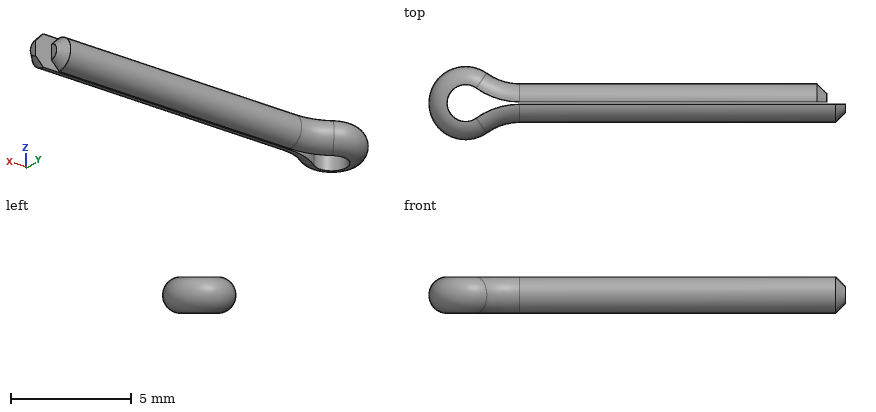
import cadquery as cq
import math

overall_length = 17.24
wire_radius = 0.75
eye_inner_radius = wire_radius
leg_gap = 0.09
bend_end_x = 3.75
leg_step = 0.78
tip_chamfer = 0.41

eye_center_x = eye_inner_radius + wire_radius
flat_y = leg_gap / 2

neck_run = bend_end_x - eye_center_x
neck_radius = (neck_run**2 + flat_y**2 - eye_inner_radius**2) / (2 * (eye_inner_radius - flat_y))
neck_center_y = flat_y + neck_radius
join_angle = math.atan2(neck_center_y, neck_run)


def eye_point(angle):
    """Point on the inner eye circle, with the angle measured from +X."""
    return (
        eye_center_x + eye_inner_radius * math.cos(angle),
        eye_inner_radius * math.sin(angle),
    )


def bent_half():
    """Half of the eye plus one neck bend, swept along the flat face on the +Y side."""
    neck_mid_angle = (join_angle + math.pi / 2) / 2
    neck_mid = (
        bend_end_x - neck_radius * math.cos(neck_mid_angle),
        neck_center_y - neck_radius * math.sin(neck_mid_angle),
    )
    path = (
        cq.Workplane("XY")
        .moveTo(*eye_point(math.pi))
        .threePointArc(eye_point((math.pi + join_angle) / 2), eye_point(join_angle))
        .threePointArc(neck_mid, (bend_end_x, flat_y))
    )
    profile = (
        cq.Workplane("XZ")
        .moveTo(wire_radius, wire_radius)
        .threePointArc((0, 0), (wire_radius, -wire_radius))
        .close()
    )
    return profile.sweep(path)


def straight_leg(end_x):
    """Half-round leg on the +Y side with a conical tip."""
    return (
        cq.Workplane("XY")
        .moveTo(bend_end_x, flat_y)
        .lineTo(bend_end_x, flat_y + wire_radius)
        .lineTo(end_x - tip_chamfer, flat_y + wire_radius)
        .lineTo(end_x, flat_y + wire_radius - tip_chamfer)
        .lineTo(end_x, flat_y)
        .close()
        .revolve(360, (bend_end_x, flat_y, 0), (end_x, flat_y, 0))
        .intersect(
            cq.Workplane("XY")
            .box(overall_length, 2 * wire_radius, 2 * wire_radius, centered=(False, False, True))
            .translate((0, flat_y, 0))
        )
    )


def half_pin(end_x):
    """Half of the pin on the +Y side, from the back of the eye to the leg tip."""
    return bent_half().union(straight_leg(end_x))


short_half = half_pin(overall_length - leg_step)
long_half = half_pin(overall_length).mirror("XZ")
result = short_half.union(long_half)